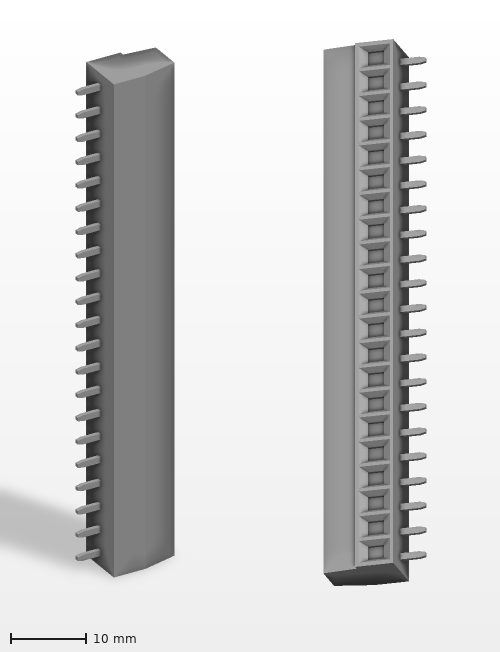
import cadquery as cq

length = 74.2
width = 7.3
height = 10.0
ledge_width = 0.7
ledge_height = 5.3
shoulder_height = 4.8
roof_left = 1.1
roof_right = 6.0

contact_count = 21
end_margin = 2.1
pitch = (length - 2 * end_margin) / (contact_count - 1)

pin_length = 3.5
pin_thickness = 0.6
pin_width = 0.9
tip_length = 0.8
tip_width = 0.5
pin_x = 3.5

mouth_low = 0.45
mouth_high = 4.75
mouth_width = 3.05
throat_low = 1.55
throat_high = 3.8
throat_width = 1.9
funnel_depth = 0.9
recess_depth = 0.5


def make_housing():
    """Extrude the XY profile of the housing along Z."""
    return (
        cq.Workplane("XY")
        .polyline([
            (0, 0),
            (width, 0),
            (width, shoulder_height),
            (roof_right, height),
            (roof_left, height),
            (ledge_width, ledge_height),
            (0, ledge_height),
        ])
        .close()
        .extrude(length)
    )


def rectangle_wire(corner, first_side, second_side):
    """Closed rectangle from a corner and two side vectors."""
    origin = cq.Vector(*corner)
    first = cq.Vector(*first_side)
    second = cq.Vector(*second_side)
    points = [origin, origin + first, origin + first + second, origin + second]
    return cq.Wire.makePolygon(points, close=True)


def make_wire_entry(z):
    """Funnel and recess to remove from the -X face at height z."""
    def section(x, low, high, size):
        corner = (x, low, z - size / 2)
        return rectangle_wire(corner, (0, high - low, 0), (0, 0, size))

    mouth = section(0, mouth_low, mouth_high, mouth_width)
    throat = section(funnel_depth, throat_low, throat_high, throat_width)
    end = section(funnel_depth + recess_depth, throat_low, throat_high, throat_width)
    funnel = cq.Solid.makeLoft([mouth, throat], ruled=True)
    recess = cq.Solid.makeLoft([throat, end], ruled=True)
    return cq.Workplane(obj=funnel.fuse(recess))


def make_pin(z):
    """Flat pin with a tapered tip, rooted on the y = 0 face at height z."""
    def section(y, size):
        corner = (pin_x - pin_thickness / 2, y, z - size / 2)
        return rectangle_wire(corner, (pin_thickness, 0, 0), (0, 0, size))

    root = section(0, pin_width)
    tip_start = section(tip_length - pin_length, pin_width)
    tip_end = section(-pin_length, tip_width)
    shank = cq.Solid.makeLoft([root, tip_start], ruled=True)
    tip = cq.Solid.makeLoft([tip_start, tip_end], ruled=True)
    return cq.Workplane(obj=shank.fuse(tip))


result = make_housing()
for index in range(contact_count):
    contact_z = end_margin + index * pitch
    result = result.cut(make_wire_entry(contact_z))
    result = result.union(make_pin(contact_z))